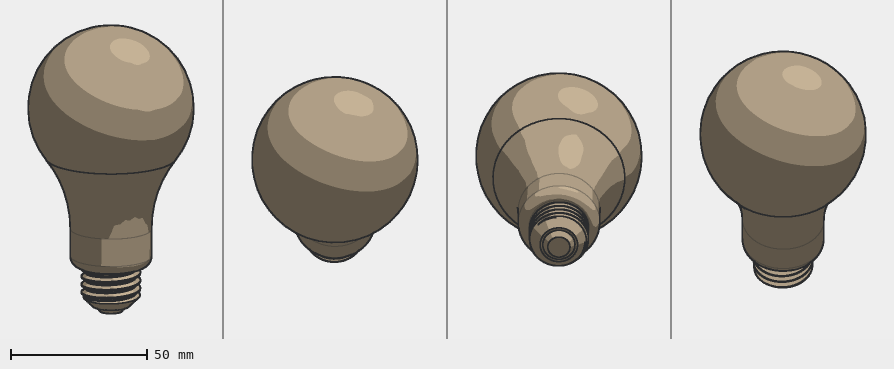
import cadquery as cq
import math

TOTAL_HEIGHT = 107.5
GLOBE_RADIUS = 30.48
GLOBE_CENTRE_Z = TOTAL_HEIGHT - GLOBE_RADIUS

COLLAR_RADIUS = 30.0 / 2
COLLAR_BOTTOM_Z = 17.1
COLLAR_TOP_Z = 31.4
COLLAR_ROUNDING = 3.9

CENTRE_RISE = GLOBE_CENTRE_Z - COLLAR_TOP_Z
NECK_ARC_RADIUS = (COLLAR_RADIUS**2 + CENTRE_RISE**2 - GLOBE_RADIUS**2) / (2 * (GLOBE_RADIUS - COLLAR_RADIUS))
NECK_ARC_CENTRE_X = COLLAR_RADIUS + NECK_ARC_RADIUS
SEAM_ANGLE = math.atan2(CENTRE_RISE, NECK_ARC_CENTRE_X)
SEAM_RADIUS = GLOBE_RADIUS * math.cos(SEAM_ANGLE)
SEAM_Z = GLOBE_CENTRE_Z - GLOBE_RADIUS * math.sin(SEAM_ANGLE)

THREAD_RADIUS = 21.7 / 2
CORE_RADIUS = 18.4 / 2
THREAD_PITCH = 3.0
THREAD_TURNS = 6
THREAD_START_Z = 2.0
CREST_WIDTH = 0.4
ROOT_WIDTH = 2.6
ROOT_EMBED = 0.2
TRIM_CLEARANCE = 1.1

TAPER_BOTTOM_RADIUS = 6.9
LEDGE_Z = 2.0
TAPER_TOP_Z = 5.3
TAPER_TOP_RADIUS = TAPER_BOTTOM_RADIUS + TAPER_TOP_Z - LEDGE_Z
CONTACT_TOP_RADIUS = 5.9
CONTACT_BOTTOM_RADIUS = 4.1


def revolve_profile(profile):
    """Turn a closed XZ profile once around the Z axis."""
    return profile.close().revolve(360, (0, 0, 0), (0, 1, 0))


def make_globe():
    """Spherical bulb, cut flat at the seam with the neck."""
    mid_angle = (math.pi / 2 - SEAM_ANGLE) / 2
    mid_point = (
        GLOBE_RADIUS * math.cos(mid_angle),
        GLOBE_CENTRE_Z + GLOBE_RADIUS * math.sin(mid_angle),
    )
    profile = (
        cq.Workplane("XZ")
        .moveTo(0, SEAM_Z)
        .lineTo(SEAM_RADIUS, SEAM_Z)
        .threePointArc(mid_point, (0, TOTAL_HEIGHT))
    )
    return revolve_profile(profile)


def make_housing():
    """Flared neck and collar in one piece."""
    neck_mid = (
        NECK_ARC_CENTRE_X - NECK_ARC_RADIUS * math.cos(SEAM_ANGLE / 2),
        COLLAR_TOP_Z + NECK_ARC_RADIUS * math.sin(SEAM_ANGLE / 2),
    )
    rounding_inset = COLLAR_ROUNDING * (1 - math.sqrt(0.5))
    profile = (
        cq.Workplane("XZ")
        .moveTo(0, COLLAR_BOTTOM_Z)
        .lineTo(COLLAR_RADIUS - COLLAR_ROUNDING, COLLAR_BOTTOM_Z)
        .threePointArc(
            (COLLAR_RADIUS - rounding_inset, COLLAR_BOTTOM_Z + rounding_inset),
            (COLLAR_RADIUS, COLLAR_BOTTOM_Z + COLLAR_ROUNDING),
        )
        .lineTo(COLLAR_RADIUS, COLLAR_TOP_Z)
        .threePointArc(neck_mid, (SEAM_RADIUS, SEAM_Z))
        .lineTo(0, SEAM_Z)
    )
    return revolve_profile(profile)


def make_thread():
    """Right-handed V ridge whose flanks run on a little way into the core."""
    inner_radius = CORE_RADIUS - ROOT_EMBED
    flank_slope = (ROOT_WIDTH - CREST_WIDTH) / 2 / (THREAD_RADIUS - CORE_RADIUS)
    inner_half_width = ROOT_WIDTH / 2 + ROOT_EMBED * flank_slope
    crest_half_width = CREST_WIDTH / 2
    path = cq.Wire.makeHelix(
        THREAD_PITCH,
        THREAD_PITCH * THREAD_TURNS,
        inner_radius,
        center=cq.Vector(0, 0, THREAD_START_Z),
    )
    return (
        cq.Workplane("XZ")
        .polyline([
            (inner_radius, THREAD_START_Z - inner_half_width),
            (THREAD_RADIUS, THREAD_START_Z - crest_half_width),
            (THREAD_RADIUS, THREAD_START_Z + crest_half_width),
            (inner_radius, THREAD_START_Z + inner_half_width),
        ])
        .close()
        .sweep(cq.Workplane(path), isFrenet=True)
    )


def make_trim_envelope():
    """Space the thread may fill: below the collar and inside the extended taper."""
    clear_radius = THREAD_RADIUS + TRIM_CLEARANCE
    clear_z = LEDGE_Z + clear_radius - TAPER_BOTTOM_RADIUS
    return revolve_profile(
        cq.Workplane("XZ")
        .moveTo(0, LEDGE_Z)
        .lineTo(TAPER_BOTTOM_RADIUS, LEDGE_Z)
        .lineTo(clear_radius, clear_z)
        .lineTo(clear_radius, COLLAR_BOTTOM_Z)
        .lineTo(0, COLLAR_BOTTOM_Z)
    )


def make_screw_base():
    """Threaded core, trimmed to length, with its taper and end contact."""
    core_height = THREAD_START_Z + (THREAD_TURNS + 1) * THREAD_PITCH
    core = cq.Workplane("XY").circle(CORE_RADIUS).extrude(core_height)
    threaded = core.union(make_thread()).intersect(make_trim_envelope())
    end = revolve_profile(
        cq.Workplane("XZ")
        .moveTo(0, 0)
        .lineTo(CONTACT_BOTTOM_RADIUS, 0)
        .lineTo(CONTACT_TOP_RADIUS, LEDGE_Z)
        .lineTo(TAPER_BOTTOM_RADIUS, LEDGE_Z)
        .lineTo(TAPER_TOP_RADIUS, TAPER_TOP_Z)
        .lineTo(0, TAPER_TOP_Z)
    )
    return threaded.union(end)


globe = make_globe()
housing = make_housing()
screw_base = make_screw_base()

result = cq.Compound.makeCompound([globe.val(), housing.val(), *screw_base.solids().vals()])